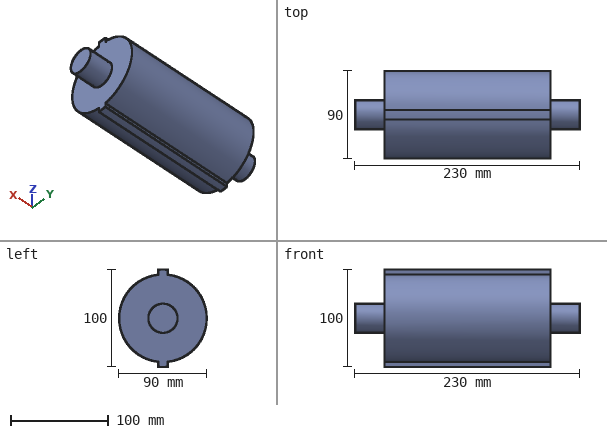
import cadquery as cq

total_length = 230.0
shaft_length = 30.0
shaft_diameter = 30.0
drum_diameter = 90.0
rib_tip_diameter = 100.0
rib_width = 10.0

drum_length = total_length - 2 * shaft_length


def centred_cylinder(diameter, length):
    """Cylinder along X, centred on the origin."""
    return cq.Workplane("YZ").circle(diameter / 2).extrude(length / 2, both=True)


shaft = centred_cylinder(shaft_diameter, total_length)
drum = centred_cylinder(drum_diameter, drum_length)

rib_slab = cq.Workplane("XY").box(drum_length, rib_width, rib_tip_diameter)
ribs = rib_slab.intersect(centred_cylinder(rib_tip_diameter, drum_length))

result = drum.union(ribs).union(shaft)